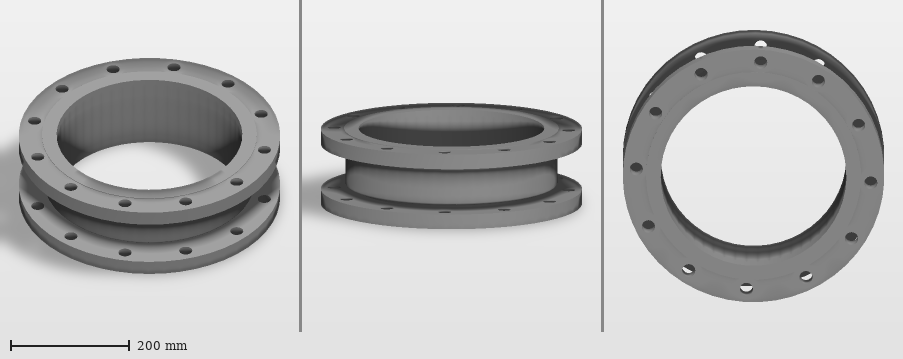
import cadquery as cq

flange_diameter = 440.0
overall_height = 130.0
bore_diameter = 312.5

flange_thickness = 25.0
face_diameter = 361.5
face_height = 1.0

hole_count = 12
hole_diameter = 22.0
bolt_circle_diameter = 395.0

body_diameter = 356.5
body_height = 62.0
body_edge_radius = 3.0
neck_diameter = 315.0
neck_fillet_radius = 5.0

half_height = overall_height / 2
flange_outer_z = half_height - face_height
flange_inner_z = flange_outer_z - flange_thickness
body_top_z = body_height / 2


def make_core():
    """Body and both necks revolved in one piece, with rounded rims and filleted neck roots."""
    neck_r = neck_diameter / 2
    rim_r = body_diameter / 2 - body_edge_radius
    root_r = neck_r + neck_fillet_radius
    rim_z = body_top_z - body_edge_radius
    root_z = body_top_z + neck_fillet_radius
    return (
        cq.Workplane("XZ")
        .moveTo(0, -flange_inner_z)
        .lineTo(neck_r, -flange_inner_z)
        .lineTo(neck_r, -root_z)
        .tangentArcPoint((root_r, -body_top_z), relative=False)
        .lineTo(rim_r, -body_top_z)
        .tangentArcPoint((body_diameter / 2, -rim_z), relative=False)
        .lineTo(body_diameter / 2, rim_z)
        .tangentArcPoint((rim_r, body_top_z), relative=False)
        .lineTo(root_r, body_top_z)
        .tangentArcPoint((neck_r, root_z), relative=False)
        .lineTo(neck_r, flange_inner_z)
        .lineTo(0, flange_inner_z)
        .close()
        .revolve(360, (0, 0, 0), (0, 1, 0))
    )


def make_flange():
    """Upper flange with its raised face and ring of bolt holes."""
    plate = cq.Workplane("XY").workplane(offset=flange_inner_z)
    half_pitch = 180 / hole_count
    bolt_holes = (
        plate.polarArray(bolt_circle_diameter / 2, half_pitch, 360, hole_count)
        .circle(hole_diameter / 2)
        .extrude(flange_thickness)
    )
    flange = plate.circle(flange_diameter / 2).extrude(flange_thickness)
    raised_face = plate.circle(face_diameter / 2).extrude(flange_thickness + face_height)
    return flange.union(raised_face).cut(bolt_holes)


upper_flange = make_flange()
lower_flange = upper_flange.mirror("XY")
bore = cq.Workplane("XY").workplane(offset=-half_height).circle(bore_diameter / 2).extrude(overall_height)

result = make_core().union(upper_flange).union(lower_flange).cut(bore)